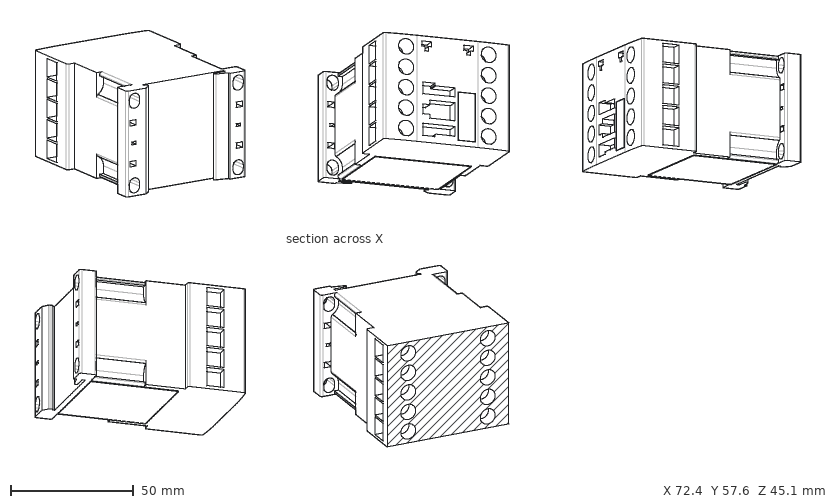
import cadquery as cq
import math

HEIGHT = 44.8
MID_Z = HEIGHT / 2
LENGTH = 72.4

FRONT_HALF_WIDTH = 27.5
FRONT_LENGTH = 25.5
PANEL_HALF_WIDTH = 13.2
FRONT_SETBACK = 0.65
FRONT_CORNER_RADIUS = 0.9

BODY_HALF_WIDTH = 24.1
BODY_REAR = 67.5

FOOT_FRONT = 65.0
FOOT_HALF_WIDTH = 28.8
FOOT_CORNER_RADIUS = 0.9

BASE_PLATE_THICKNESS = 0.3
BASE_PLATE_FRONT = 27.3
BASE_PLATE_HALF_WIDTH = 21.0

FOOT_INNER_Y = 21.0
TONGUE_FRONT = 68.8
TONGUE_REAR = 71.3
TONGUE_TIP_Y = 15.0
TONGUE_TIP_WIDTH = 1.4
HOOK_ROOT_Y = -17.7
HOOK_FRONT = 68.3
HOOK_TIP_Y = -16.7
HOOK_TIP_REAR = 70.2
HOOK_TIP_RADIUS = 0.6
HOOK_BEVEL_Y = -19.5

CHANNEL_FRONT = 42.3
CHANNEL_FLOOR_Y = 20.8
LIP_TOP_Y = 21.55
LIP_RADIUS = 1.1
LIP_OUTER_Y = LIP_TOP_Y + LIP_RADIUS
LIP_THICKNESS = 1.6
COVE_START = 4.9
COVE_END = 9.3
CHANNEL_END = 10.4
COVE_RADIUS = 4.9

TERMINAL_COUNT = 5
TERMINAL_PITCH = 8.62
SCREW_HOLE_DIAMETER = 6.5
SCREW_HOLE_Y = 18.0
SCREW_HOLE_DEPTH = 12.0
WIRE_POCKET_FRONT = 10.0
WIRE_POCKET_LENGTH = 7.4
WIRE_POCKET_HEIGHT = 7.8
WIRE_POCKET_DEPTH = 4.9

WINDOW_DEPTH = 5.2
WINDOW_LEFT_Y = 10.7
WINDOW_RIGHT_Y = -3.2
WINDOW_STEP_Y = 5.4
WINDOW_STEP_BEVEL = 0.3
UPPER_WINDOW_BOTTOM = 20.4
UPPER_WINDOW_STEP = 24.2
UPPER_WINDOW_TOP = 25.3
MIDDLE_WINDOW_Z = (10.35, 17.95)
MIDDLE_TAB_Z = (11.95, 16.05)
MIDDLE_TAB_Y = 7.65
LOWER_WINDOW_TOP = 7.9
LOWER_WINDOW_STEP = 3.85
LOWER_WINDOW_BOTTOM = 2.8

LABEL_DEPTH = 0.3
LABEL_Y = (-12.1, -4.75)
LABEL_Z = (2.3, 22.6)
TEE_CENTERS_Y = (9.05, -9.2)
TEE_DEPTH = 5.3
TEE_BAR_WIDTH = 4.2
TEE_STEM_WIDTH = 1.5
TEE_TOP_Z = 42.6
TEE_SHOULDER_Z = 40.5
TEE_BOTTOM_Z = 38.6

SCREW_SLOT_WIDTH = 4.9
SCREW_SLOT_HEIGHT = 6.3
SCREW_SLOT_Y = 25.0
SCREW_SLOT_EDGE_DISTANCE = 4.5
OPENING_INNER_Y = 24.2
LARGE_OPENING_WIDTH = 2.9
LARGE_OPENING_HEIGHT = 2.3
LARGE_OPENING_OFFSET = 8.65
SMALL_OPENING_WIDTH = 2.0
SMALL_OPENING_HEIGHT = 1.2


def box(x_range, y_range, z_range):
    """Axis-aligned box given by its limits along each axis."""
    size = [high - low for low, high in (x_range, y_range, z_range)]
    corner = (x_range[0], y_range[0], z_range[0])
    return cq.Workplane("XY").box(*size, centered=False).translate(corner)


def front_block():
    """Terminal block whose face bows back on both sides of a flat panel."""
    side_span = FRONT_HALF_WIDTH - PANEL_HALF_WIDTH
    bow_radius = (side_span**2 + FRONT_SETBACK**2) / (2 * FRONT_SETBACK)
    half_span = side_span / 2
    mid_setback = bow_radius - math.sqrt(bow_radius**2 - half_span**2)
    mid_y = PANEL_HALF_WIDTH + half_span
    outline = (
        cq.Workplane("XY")
        .moveTo(FRONT_LENGTH, -FRONT_HALF_WIDTH)
        .lineTo(FRONT_LENGTH, FRONT_HALF_WIDTH)
        .lineTo(FRONT_SETBACK, FRONT_HALF_WIDTH)
        .threePointArc((mid_setback, mid_y), (0, PANEL_HALF_WIDTH))
        .lineTo(0, -PANEL_HALF_WIDTH)
        .threePointArc((mid_setback, -mid_y), (FRONT_SETBACK, -FRONT_HALF_WIDTH))
        .close()
    )
    block = outline.extrude(HEIGHT)
    return block.edges("|Z and (<Y or >Y)").fillet(FRONT_CORNER_RADIUS)


def spring_foot():
    """+Y foot with a tapered, round-tipped tongue."""
    foot = box((FOOT_FRONT, LENGTH), (FOOT_INNER_Y, FOOT_HALF_WIDTH), (0, HEIGHT))
    foot = foot.edges("|Z and >Y").fillet(FOOT_CORNER_RADIUS)
    tip_radius = TONGUE_TIP_WIDTH / 2
    tip_rear = TONGUE_FRONT + TONGUE_TIP_WIDTH
    tongue = (
        cq.Workplane("XY")
        .moveTo(TONGUE_FRONT, FOOT_INNER_Y)
        .lineTo(TONGUE_FRONT, TONGUE_TIP_Y + tip_radius)
        .threePointArc(
            (TONGUE_FRONT + tip_radius, TONGUE_TIP_Y),
            (tip_rear, TONGUE_TIP_Y + tip_radius),
        )
        .lineTo(TONGUE_REAR, FOOT_INNER_Y)
        .close()
        .extrude(HEIGHT)
    )
    return foot.union(tongue)


def hook_foot():
    """-Y foot with a fixed hook, bevelled toward the rear."""
    foot = (
        cq.Workplane("XY")
        .polyline([
            (FOOT_FRONT, -FOOT_HALF_WIDTH),
            (LENGTH, -FOOT_HALF_WIDTH),
            (LENGTH, HOOK_BEVEL_Y),
            (HOOK_TIP_REAR, HOOK_TIP_Y),
            (HOOK_FRONT, HOOK_TIP_Y),
            (HOOK_FRONT, HOOK_ROOT_Y),
            (FOOT_FRONT, HOOK_ROOT_Y),
        ])
        .close()
        .extrude(HEIGHT)
    )
    foot = foot.edges("|Z and <Y").fillet(FOOT_CORNER_RADIUS)
    return foot.edges("|Z and >Y").fillet(HOOK_TIP_RADIUS)


def side_channel():
    """Void of the upper channel on the +Y side: undercut lip, flat floor and cove."""
    sweep = math.asin((COVE_END - COVE_START) / COVE_RADIUS)
    cove_center = (CHANNEL_FLOOR_Y + COVE_RADIUS, HEIGHT - COVE_START)
    cove_mid = (
        cove_center[0] - COVE_RADIUS * math.cos(sweep / 2),
        cove_center[1] - COVE_RADIUS * math.sin(sweep / 2),
    )
    cove_end = (cove_center[0] - COVE_RADIUS * math.cos(sweep), HEIGHT - COVE_END)

    round_radius = (CHANNEL_END - COVE_END) / math.sin(sweep)
    round_center = (BODY_HALF_WIDTH - round_radius, HEIGHT - CHANNEL_END)
    round_start = (round_center[0] + round_radius * math.cos(sweep), HEIGHT - COVE_END)
    round_mid = (
        round_center[0] + round_radius * math.cos(sweep / 2),
        round_center[1] + round_radius * math.sin(sweep / 2),
    )

    lip_mid = (
        LIP_TOP_Y + LIP_RADIUS * math.sqrt(0.5),
        HEIGHT - LIP_RADIUS * (1 - math.sqrt(0.5)),
    )
    outline = (
        cq.Workplane("YZ")
        .moveTo(LIP_TOP_Y, HEIGHT)
        .threePointArc(lip_mid, (LIP_OUTER_Y, HEIGHT - LIP_RADIUS))
        .lineTo(LIP_OUTER_Y, HEIGHT - LIP_THICKNESS)
        .lineTo(CHANNEL_FLOOR_Y, HEIGHT - LIP_THICKNESS)
        .lineTo(CHANNEL_FLOOR_Y, HEIGHT - COVE_START)
        .threePointArc(cove_mid, cove_end)
        .lineTo(*round_start)
        .threePointArc(round_mid, (BODY_HALF_WIDTH, HEIGHT - CHANNEL_END))
        .lineTo(BODY_HALF_WIDTH, HEIGHT)
        .close()
    )
    return outline.extrude(FOOT_FRONT - CHANNEL_FRONT).translate((CHANNEL_FRONT, 0, 0))


def on_both_sides(shape):
    """The shape together with its mirror image across y = 0."""
    return shape.union(shape.mirror("XZ"))


def above_and_below(shape):
    """The shape together with its mirror image across mid height."""
    return shape.union(shape.mirror("XY", (0, 0, MID_Z)))


def terminal_cuts():
    """Screw holes in the front face and wire pockets in the sides."""
    cuts = cq.Workplane("XY")
    pocket_x = (WIRE_POCKET_FRONT, WIRE_POCKET_FRONT + WIRE_POCKET_LENGTH)
    pocket_y = (FRONT_HALF_WIDTH - WIRE_POCKET_DEPTH, FRONT_HALF_WIDTH)
    for index in range(TERMINAL_COUNT):
        z = MID_Z + (index - (TERMINAL_COUNT - 1) / 2) * TERMINAL_PITCH
        hole = (
            cq.Workplane("YZ")
            .center(SCREW_HOLE_Y, z)
            .circle(SCREW_HOLE_DIAMETER / 2)
            .extrude(SCREW_HOLE_DEPTH)
        )
        pocket = box(pocket_x, pocket_y, (z - WIRE_POCKET_HEIGHT / 2, z + WIRE_POCKET_HEIGHT / 2))
        cuts = cuts.add(hole).add(pocket)
    return on_both_sides(cuts.combine())


def panel_pocket(points, depth):
    """Pocket cut straight into the front face with the given (y, z) outline."""
    return cq.Workplane("YZ").polyline(points).close().extrude(depth)


def stepped_window(plain_z, outer_z, inner_z):
    """Window that is taller on its left: flat along plain_z, stepped between outer_z and inner_z."""
    step_end_z = inner_z + math.copysign(WINDOW_STEP_BEVEL, outer_z - inner_z)
    return panel_pocket([
        (WINDOW_LEFT_Y, plain_z),
        (WINDOW_RIGHT_Y, plain_z),
        (WINDOW_RIGHT_Y, inner_z),
        (WINDOW_STEP_Y - WINDOW_STEP_BEVEL, inner_z),
        (WINDOW_STEP_Y, step_end_z),
        (WINDOW_STEP_Y, outer_z),
        (WINDOW_LEFT_Y, outer_z),
    ], WINDOW_DEPTH)


def middle_window():
    """Window between the stepped ones, with a shorter tab on its left."""
    main = box((0, WINDOW_DEPTH), (WINDOW_RIGHT_Y, MIDDLE_TAB_Y), MIDDLE_WINDOW_Z)
    tab = box((0, WINDOW_DEPTH), (MIDDLE_TAB_Y, WINDOW_LEFT_Y), MIDDLE_TAB_Z)
    return main.union(tab)


def tee_slot(center_y):
    """T-shaped slot below the top edge of the front panel."""
    bar_half = TEE_BAR_WIDTH / 2
    stem_half = TEE_STEM_WIDTH / 2
    bar = box((0, TEE_DEPTH), (center_y - bar_half, center_y + bar_half), (TEE_SHOULDER_Z, TEE_TOP_Z))
    stem = box((0, TEE_DEPTH), (center_y - stem_half, center_y + stem_half), (TEE_BOTTOM_Z, TEE_SHOULDER_Z))
    return bar.union(stem)


def foot_opening(width, height, z):
    """Rectangular opening through the +Y foot, right beside the body."""
    return box(
        (FOOT_FRONT, LENGTH),
        (OPENING_INNER_Y, OPENING_INNER_Y + width),
        (z - height / 2, z + height / 2),
    )


def foot_cuts():
    """Screw slots and rectangular openings through both feet."""
    slot = (
        cq.Workplane("YZ", origin=(FOOT_FRONT, SCREW_SLOT_Y, HEIGHT - SCREW_SLOT_EDGE_DISTANCE))
        .slot2D(SCREW_SLOT_HEIGHT, SCREW_SLOT_WIDTH, 90)
        .extrude(LENGTH - FOOT_FRONT)
    )
    large = foot_opening(LARGE_OPENING_WIDTH, LARGE_OPENING_HEIGHT, MID_Z + LARGE_OPENING_OFFSET)
    small = foot_opening(SMALL_OPENING_WIDTH, SMALL_OPENING_HEIGHT, MID_Z)
    return on_both_sides(above_and_below(slot.union(large)).union(small))


body = box((FRONT_LENGTH, BODY_REAR), (-BODY_HALF_WIDTH, BODY_HALF_WIDTH), (0, HEIGHT))
base_plate = box(
    (BASE_PLATE_FRONT, FOOT_FRONT),
    (-BASE_PLATE_HALF_WIDTH, BASE_PLATE_HALF_WIDTH),
    (-BASE_PLATE_THICKNESS, 0),
)

result = front_block().union(body)
result = result.cut(on_both_sides(above_and_below(side_channel())))
result = result.union(spring_foot()).union(hook_foot()).union(base_plate)
result = result.cut(terminal_cuts())
result = result.cut(stepped_window(UPPER_WINDOW_BOTTOM, UPPER_WINDOW_TOP, UPPER_WINDOW_STEP))
result = result.cut(middle_window())
result = result.cut(stepped_window(LOWER_WINDOW_TOP, LOWER_WINDOW_BOTTOM, LOWER_WINDOW_STEP))
result = result.cut(box((0, LABEL_DEPTH), LABEL_Y, LABEL_Z))
for tee_y in TEE_CENTERS_Y:
    result = result.cut(tee_slot(tee_y))
result = result.cut(foot_cuts())